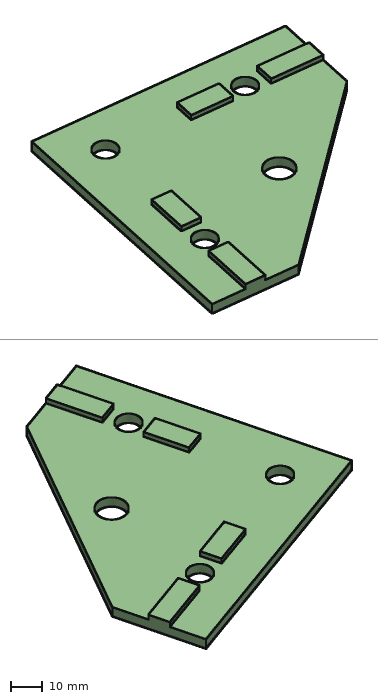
import cadquery as cq

side = 100.0
plate_thickness = 4.0
key_height = 2.0
short_edge = 34.0

corner_hole_offset = 17.0
arm_hole_position = 72.0
mounting_hole_diameter = 9.0
centre_hole_position = 57.0
centre_hole_diameter = 11.0

key_width = 7.8
key_gap = 15.0
inner_key_length = 16.5

plate = (
    cq.Workplane("XY")
    .polyline([(0, 0), (side, 0), (side, short_edge), (short_edge, side), (0, side)])
    .close()
    .extrude(plate_thickness)
)


def arm_key(start, end, along_x):
    """Raised rectangular key on one arm, between two distances from the corner."""
    length = end - start
    middle = (start + end) / 2
    if along_x:
        centre = (middle, corner_hole_offset)
        size = (length, key_width)
    else:
        centre = (corner_hole_offset, middle)
        size = (key_width, length)
    return cq.Workplane("XY").center(*centre).rect(*size).extrude(plate_thickness + key_height)


inner_key_end = arm_hole_position - key_gap / 2
outer_key_start = arm_hole_position + key_gap / 2
key_spans = [(inner_key_end - inner_key_length, inner_key_end), (outer_key_start, side)]

result = plate
for along_x in (True, False):
    for start, end in key_spans:
        result = result.union(arm_key(start, end, along_x))

mounting_holes = [
    (corner_hole_offset, corner_hole_offset),
    (arm_hole_position, corner_hole_offset),
    (corner_hole_offset, arm_hole_position),
]


def hole_cutters(centres, diameter):
    """Cylinders that pass through the full height of the part."""
    return (
        cq.Workplane("XY")
        .pushPoints(centres)
        .circle(diameter / 2)
        .extrude(plate_thickness + key_height)
    )


result = result.cut(hole_cutters(mounting_holes, mounting_hole_diameter))
result = result.cut(hole_cutters([(centre_hole_position, centre_hole_position)], centre_hole_diameter))